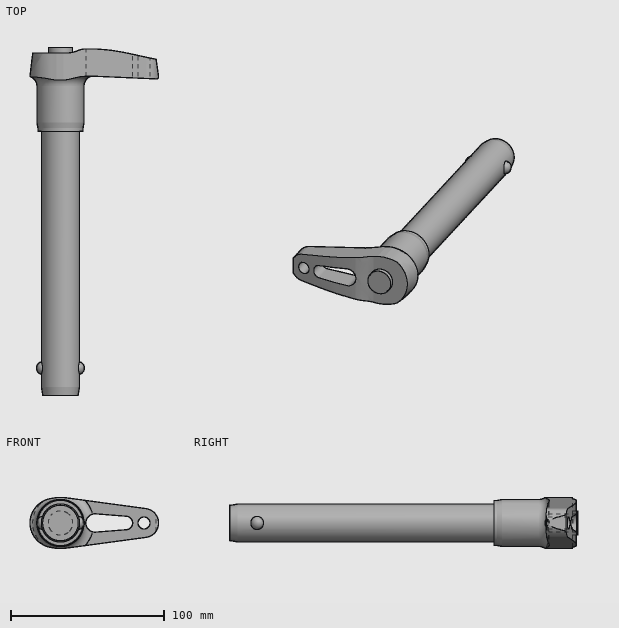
import cadquery as cq
import math

total_length = 226.8

pin_radius = 12.5
tip_radius = 11.5
tip_taper_length = 5.5
ball_radius = 4.3
ball_reach = 15.6
ball_y = 18.0

sleeve_radius = 15.5
sleeve_nose_radius = 14.7
sleeve_start_y = 172.1
nose_length = 2.0
sleeve_taper_length = 3.5
flare_radius = 6.4
lever_base_y = 208.0

button_radius = 8.0

head_end_x = -20.0
head_width = 33.3
head_half_width = head_width / 2
head_flat_half_length = 2.3
head_shoulder = (-5.7, 16.0)
head_curve_middle = (-15.6, 10.9)
lever_tip_x = 64.0
tip_round_radius = 9.5
tip_center_x = lever_tip_x - tip_round_radius

head_top_y = 223.2
hump_start_x = 5.0
hump_top_y = 226.0
hump_top_start_x = 16.5
hump_top_end_x = 19.0
lever_tip_top_y = 219.0
hump_end_steepness = 1.2
lever_tip_base_y = 206.2
underside_start_y = 208.2
lever_tip_top_x = 62.4
tip_edge_radius = 1.5
head_cone_top_radius = 18.1

slot_inner_x = 22.5
slot_inner_radius = 6.0
slot_outer_x = 42.6
slot_outer_radius = 4.3
tether_hole_radius = 3.9


def extrude_from_xz(outline):
    """Prism of an XZ outline over the full length of the part."""
    return outline.extrude(-total_length)


def tangent_angle(center_distance, large_radius, small_radius):
    """Angle from +X of the contact points shared by a line tangent to two circles."""
    return math.acos((large_radius - small_radius) / center_distance)


def polar_point(center_x, radius, angle):
    return (center_x + radius * math.cos(angle), radius * math.sin(angle))


def mirrored(point):
    return (point[0], -point[1])


def lever_plan():
    flat_start = (-head_flat_half_length, head_half_width)
    flat_end = (head_flat_half_length, head_half_width)
    dx = tip_center_x - head_flat_half_length
    line_length = math.hypot(dx, head_half_width)
    tangent = math.pi - math.atan2(head_half_width, dx) - math.acos(tip_round_radius / line_length)
    tip_start = polar_point(tip_center_x, tip_round_radius, tangent)
    outline = (
        cq.Workplane("XZ")
        .moveTo(head_end_x, 0)
        .threePointArc(head_curve_middle, head_shoulder)
        .lineTo(*flat_start)
        .lineTo(*flat_end)
        .lineTo(*tip_start)
        .threePointArc((lever_tip_x, 0), mirrored(tip_start))
        .lineTo(*mirrored(flat_end))
        .lineTo(*mirrored(flat_start))
        .lineTo(*mirrored(head_shoulder))
        .threePointArc(mirrored(head_curve_middle), (head_end_x, 0))
        .close()
    )
    return extrude_from_xz(outline)


def lever_side_profile():
    hump_slope = (hump_top_y - lever_tip_top_y) / (lever_tip_top_x - hump_top_end_x)
    return (
        cq.Workplane("XY")
        .moveTo(head_end_x, lever_base_y)
        .lineTo(head_end_x, head_top_y)
        .lineTo(hump_start_x, head_top_y)
        .spline([(hump_top_start_x, hump_top_y)], tangents=[(1, 0), (1, 0)], includeCurrent=True)
        .lineTo(hump_top_end_x, hump_top_y)
        .spline(
            [(lever_tip_top_x, lever_tip_top_y)],
            tangents=[(1, 0), (1, -hump_end_steepness * hump_slope)],
            includeCurrent=True,
        )
        .lineTo(lever_tip_x, lever_tip_base_y + tip_edge_radius)
        .radiusArc((lever_tip_x - tip_edge_radius, lever_tip_base_y), tip_edge_radius)
        .lineTo(sleeve_radius, underside_start_y)
        .lineTo(sleeve_radius, lever_base_y)
        .close()
        .extrude(head_half_width, both=True)
    )


def head_cone_bound():
    """Cone that slants the rounded head end, joined to a block that leaves the arm whole."""
    cone = (
        cq.Workplane("XY")
        .polyline([
            (0, lever_base_y),
            (-head_end_x, lever_base_y),
            (head_cone_top_radius, head_top_y),
            (0, head_top_y),
        ])
        .close()
        .revolve(360, (0, 0), (0, 1))
    )
    arm = cq.Workplane("XY").box(
        lever_tip_x, total_length, 2 * head_half_width, centered=(False, False, True)
    )
    return cone.union(arm)


def lever_openings():
    angle = tangent_angle(slot_outer_x - slot_inner_x, slot_inner_radius, slot_outer_radius)
    inner = polar_point(slot_inner_x, slot_inner_radius, angle)
    outer = polar_point(slot_outer_x, slot_outer_radius, angle)
    slot = (
        cq.Workplane("XZ")
        .moveTo(*inner)
        .lineTo(*outer)
        .threePointArc((slot_outer_x + slot_outer_radius, 0), mirrored(outer))
        .lineTo(*mirrored(inner))
        .threePointArc((slot_inner_x - slot_inner_radius, 0), inner)
        .close()
    )
    hole = cq.Workplane("XZ").center(tip_center_x, 0).circle(tether_hole_radius)
    return extrude_from_xz(slot).union(extrude_from_xz(hole))


def turned_body():
    """Pin, sleeve, flare and release button as one revolved profile."""
    nose_end_y = sleeve_start_y + nose_length
    return (
        cq.Workplane("XY")
        .moveTo(0, 0)
        .lineTo(tip_radius, 0)
        .lineTo(pin_radius, tip_taper_length)
        .lineTo(pin_radius, sleeve_start_y)
        .lineTo(sleeve_nose_radius, sleeve_start_y)
        .lineTo(sleeve_nose_radius, nose_end_y)
        .lineTo(sleeve_radius, nose_end_y + sleeve_taper_length)
        .lineTo(sleeve_radius, lever_base_y - flare_radius)
        .radiusArc((sleeve_radius + flare_radius, lever_base_y), flare_radius)
        .lineTo(sleeve_radius + flare_radius, underside_start_y)
        .lineTo(button_radius, underside_start_y)
        .lineTo(button_radius, total_length)
        .lineTo(0, total_length)
        .close()
        .revolve(360, (0, 0), (0, 1))
    )


def locking_ball(side):
    center_x = side * (ball_reach - ball_radius)
    return cq.Workplane("XY").sphere(ball_radius).translate((center_x, ball_y, 0))


plan = lever_plan()
lever = plan.intersect(lever_side_profile()).intersect(head_cone_bound())

result = turned_body().intersect(plan).union(lever).cut(lever_openings())
for ball_side in (-1, 1):
    result = result.union(locking_ball(ball_side))